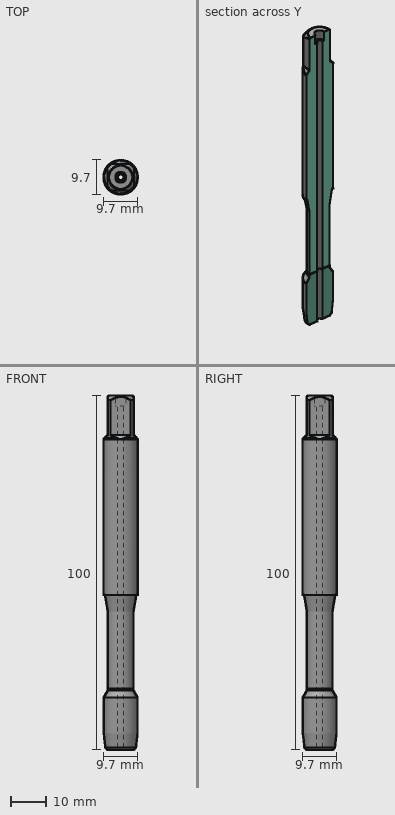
import cadquery as cq

overall_length = 100.0
tip_chamfer_top = 0.8
lead_taper_top = 4.7
thread_top = 14.9
shoulder_top = 16.8
body_joint = 17.4
neck_top = 39.0
shank_bottom = 43.8
shank_top = 87.6

shank_diameter = 9.7
thread_diameter = 9.6
drive_corner_diameter = 9.3
taper_top_diameter = 8.9
lead_taper_diameter = 8.7
neck_diameter = 7.3
tip_diameter = 7.3
drive_end_diameter = 6.6

across_flats = 7.4
shank_cone_length = 0.4
flat_end_rise = 1.2

bore_diameter = 1.7
bore_mouth_diameter = 3.0
bore_mouth_depth = 3.0


def revolve_profile(diameter_steps):
    """Revolve (diameter, z) stations about Z into a solid turned body."""
    bottom_z = diameter_steps[0][1]
    top_z = diameter_steps[-1][1]
    outline = [(0, bottom_z)]
    outline += [(diameter / 2, z) for diameter, z in diameter_steps]
    outline.append((0, top_z))
    return cq.Workplane("XZ").polyline(outline).close().revolve(360, (0, 0), (0, 1))


def make_bore():
    """Coolant bore along the whole axis, with a wider mouth at the drive end."""
    mouth_bottom = overall_length - bore_mouth_depth
    return revolve_profile([
        (bore_diameter, 0),
        (bore_diameter, mouth_bottom),
        (bore_mouth_diameter, mouth_bottom),
        (bore_mouth_diameter, overall_length),
    ])


def make_flat_cutter():
    """Material removed beside the +X flat, with a 45 degree run-out into the shank."""
    flat_x = across_flats / 2
    outer_x = shank_diameter
    flat_bottom = shank_top + flat_end_rise
    return (
        cq.Workplane("XZ")
        .moveTo(flat_x, overall_length)
        .lineTo(flat_x, flat_bottom)
        .lineTo(outer_x, flat_bottom - (outer_x - flat_x))
        .lineTo(outer_x, overall_length)
        .close()
        .extrude(shank_diameter, both=True)
    )


def make_shank():
    """Neck, cylindrical shank and square drive."""
    drive_chamfer = (drive_corner_diameter - drive_end_diameter) / 2
    shank = revolve_profile([
        (neck_diameter, body_joint),
        (neck_diameter, neck_top),
        (taper_top_diameter, shank_bottom),
        (shank_diameter, shank_bottom),
        (shank_diameter, shank_top),
        (drive_corner_diameter, shank_top + shank_cone_length),
        (drive_corner_diameter, overall_length - drive_chamfer),
        (drive_end_diameter, overall_length),
    ])
    flat_cutter = make_flat_cutter()
    for angle in (0, 90, 180, 270):
        shank = shank.cut(flat_cutter.rotate((0, 0, 0), (0, 0, 1), angle))
    return shank.cut(make_bore())


def make_cutting_head():
    """Plain thread envelope with a tapered lead and a chamfered tip."""
    head = revolve_profile([
        (tip_diameter, 0),
        (lead_taper_diameter, tip_chamfer_top),
        (thread_diameter, lead_taper_top),
        (thread_diameter, thread_top),
        (neck_diameter, shoulder_top),
        (neck_diameter, body_joint),
    ])
    return head.cut(make_bore())


shank = make_shank()
cutting_head = make_cutting_head()

result = cq.Compound.makeCompound([shank.val(), cutting_head.val()])